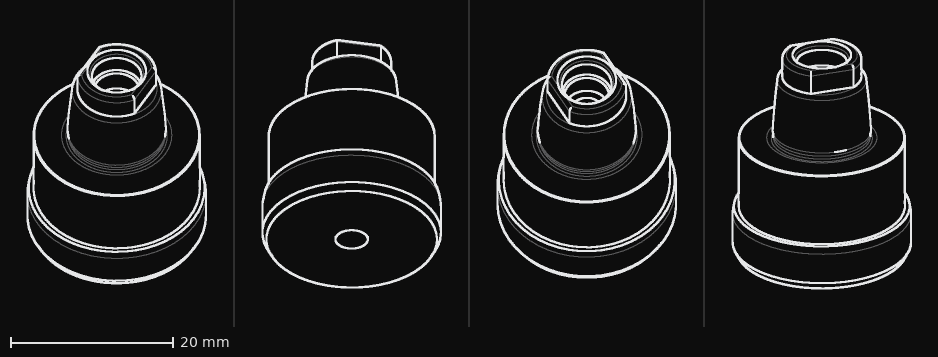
import cadquery as cq
import math

ARC_MIDPOINT = math.sqrt(0.5)

TOTAL_HEIGHT = 26.95
COLLAR_CHAMFER_HEIGHT = 1.0
COLLAR_TAPER_START = 5.0
COLLAR_HEIGHT = 6.0
BODY_TOP = 15.5
NECK_BASE_TOP = 16.0
NECK_WIDEST_HEIGHT = 16.5
NECK_TOP = 23.99

COLLAR_DIAMETER = 22.02
COLLAR_RADIUS = COLLAR_DIAMETER / 2
COLLAR_FOOT_RADIUS = 10.5
COLLAR_TOP_RADIUS = 10.83
BODY_RADIUS = 10.25
NECK_BASE_RADIUS = 5.98
NECK_WIDEST_RADIUS = 6.06
NECK_MIDDLE_RADIUS = 5.85
NECK_TOP_RADIUS = 5.5
HEAD_RADIUS = 4.88

BODY_CHAMFER = 0.08
EDGE_ROUND = 0.5
HEAD_ACROSS_FLATS = 8.0

RECESS_OUTER_RADIUS = 6.8
RECESS_INNER_RADIUS = 6.23
RECESS_DEPTH = 0.13

MOUTH_RADIUS = 3.6
MOUTH_STEP_RADIUS = 3.3
MOUTH_STEP_DEPTH = 0.43
SOCKET_RADIUS = 3.05
SOCKET_TOP_DEPTH = 0.85
SOCKET_DEPTH = 3.02
SEAT_RADIUS = 2.75
SEAT_CHAMFER = SOCKET_RADIUS - SEAT_RADIUS
SEAT_DEPTH = 6.0
BORE_RADIUS = 2.0
FUNNEL_SLOPE_DEGREES = 30
FUNNEL_DEPTH = SEAT_DEPTH + (SEAT_RADIUS - BORE_RADIUS) * math.tan(math.radians(FUNNEL_SLOPE_DEGREES))


def make_body():
    """Collar, cylindrical body and barrel-sided neck, turned about Z."""
    neck_round_start = NECK_TOP - EDGE_ROUND
    neck_middle = (NECK_WIDEST_HEIGHT + neck_round_start) / 2
    round_offset = EDGE_ROUND * ARC_MIDPOINT
    recess_floor = BODY_TOP - RECESS_DEPTH
    root_round = RECESS_INNER_RADIUS - NECK_BASE_RADIUS
    root_offset = root_round * ARC_MIDPOINT
    neck_round_center = NECK_TOP_RADIUS - EDGE_ROUND
    return (
        cq.Workplane("XZ")
        .lineTo(COLLAR_FOOT_RADIUS, 0)
        .lineTo(COLLAR_RADIUS, COLLAR_CHAMFER_HEIGHT)
        .lineTo(COLLAR_RADIUS, COLLAR_TAPER_START)
        .lineTo(COLLAR_TOP_RADIUS, COLLAR_HEIGHT)
        .lineTo(BODY_RADIUS, COLLAR_HEIGHT)
        .lineTo(BODY_RADIUS, BODY_TOP - BODY_CHAMFER)
        .lineTo(BODY_RADIUS - BODY_CHAMFER, BODY_TOP)
        .lineTo(RECESS_OUTER_RADIUS, BODY_TOP)
        .lineTo(RECESS_INNER_RADIUS, recess_floor)
        .threePointArc(
            (RECESS_INNER_RADIUS - root_offset, recess_floor + root_round - root_offset),
            (NECK_BASE_RADIUS, recess_floor + root_round),
        )
        .lineTo(NECK_BASE_RADIUS, NECK_BASE_TOP)
        .lineTo(NECK_WIDEST_RADIUS, NECK_WIDEST_HEIGHT)
        .threePointArc((NECK_MIDDLE_RADIUS, neck_middle), (NECK_TOP_RADIUS, neck_round_start))
        .threePointArc(
            (neck_round_center + round_offset, neck_round_start + round_offset),
            (neck_round_center, NECK_TOP),
        )
        .lineTo(0, NECK_TOP)
        .close()
        .revolve(360, (0, 0, 0), (0, 1, 0))
    )


def make_head():
    """Round head with two wrench flats facing -X and +X."""
    height = TOTAL_HEIGHT - NECK_TOP
    flats = cq.Workplane("XY").box(
        HEAD_ACROSS_FLATS, 2 * HEAD_RADIUS, height, centered=(True, True, False)
    )
    head = cq.Workplane("XY").circle(HEAD_RADIUS).extrude(height).intersect(flats)
    return head.faces(">Z").edges().fillet(EDGE_ROUND).translate((0, 0, NECK_TOP))


def make_bore():
    """Stepped through bore with a two-stage conical mouth and a funnel below the seat."""
    socket_floor = TOTAL_HEIGHT - SOCKET_DEPTH
    return (
        cq.Workplane("XZ")
        .lineTo(BORE_RADIUS, 0)
        .lineTo(BORE_RADIUS, TOTAL_HEIGHT - FUNNEL_DEPTH)
        .lineTo(SEAT_RADIUS, TOTAL_HEIGHT - SEAT_DEPTH)
        .lineTo(SEAT_RADIUS, socket_floor - SEAT_CHAMFER)
        .lineTo(SOCKET_RADIUS, socket_floor)
        .lineTo(SOCKET_RADIUS, TOTAL_HEIGHT - SOCKET_TOP_DEPTH)
        .lineTo(MOUTH_STEP_RADIUS, TOTAL_HEIGHT - MOUTH_STEP_DEPTH)
        .lineTo(MOUTH_RADIUS, TOTAL_HEIGHT)
        .lineTo(0, TOTAL_HEIGHT)
        .close()
        .revolve(360, (0, 0, 0), (0, 1, 0))
    )


result = make_body().union(make_head()).cut(make_bore())